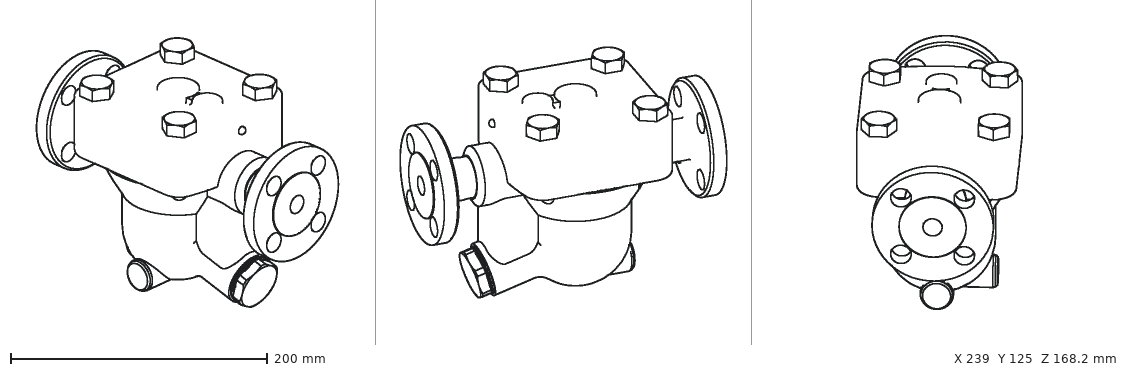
import cadquery as cq
import math


FLANGE_LEFT = 62.5
FLANGE_HALF_WIDTH = 62.5
FLANGE_RIGHT = 69.0
CORNER_RADIUS = 17.5
BOLT_OFFSET = FLANGE_HALF_WIDTH - CORNER_RADIUS
COVER_TOP = 51.5
SPLIT_Z = 30.0
BODY_FLANGE_BOTTOM = 0.2
BODY_BOW_SETBACK = 1.3
COVER_EDGE_FILLET = 1.5
BODY_EDGE_FILLET = 3.5

BOLT_TOP = 61.7
HEX_ACROSS_FLATS = 24.0
HEX_ACROSS_CORNERS = 2 * HEX_ACROSS_FLATS / math.sqrt(3)
HEX_CHAMFER = 1.0
BOLT_CLEARANCE_RADIUS = 9.0
BOLT_CLEARANCE_DEPTH = 24.0

BOSS_TOP = 57.6
MAIN_BOSS_RADIUS = 16.5
SIDE_BOSS_RADIUS = 12.0
SIDE_BOSS_X = 31.6
BOSS_FOOT_FILLET = 3.0
BOSS_TOP_FILLET = 1.7
BRIDGE_HALF_WIDTH = 6.5
BRIDGE_TOP = 55.4

VENT_RADIUS = 3.3
VENT_Z = 43.5

CHAMBER_RADIUS = 44.0
DOME_CENTRE_Z = -62.5
CHAMBER_TOP = -33.0
HOPPER_MID = -19.4
HOPPER_MID_RADIUS = 52.0
HOPPER_TOP_RADIUS = 62.4

PIPE_LENGTH = 239.0
PIPE_CENTRE_X = 10.0
PIPE_END_X = PIPE_LENGTH / 2
PIPE_FLANGE_DIAMETER = 95.0
PIPE_FLANGE_THICKNESS = 14.0
PIPE_FLANGE_BEVEL = 2.0
RAISED_FACE_DIAMETER = 52.5
RAISED_FACE_HEIGHT = 1.0
NECK_RADIUS = 16.5
NECK_FILLET = 3.5
BEAD_RADIUS = 17.0
BEAD_START = 28.4
BEAD_END = 34.6
SHOULDER_RADIUS = 24.0
SHOULDER_START = 40.2
SHOULDER_END = 44.5
SHOULDER_NECK_RADIUS = 17.5
BORE_DIAMETER = 15.0
BORE_DEPTH = SHOULDER_END
PIPE_BOLT_CIRCLE = 70.0
PIPE_BOLT_HOLE = 16.0
PIPE_BOLT_COUNT = 4

RIB_END_X = 77.8
RIB_BOTTOM = -78.0
RIB_HALF_WIDTH = 20.0
RIB_CORNER_RADIUS = 12.0

POCKET_ANGLE = 15.0
POCKET_RADIUS = 22.0
POCKET_LENGTH = 80.0
POCKET_FILLET = 15.0
COLLAR_RADIUS = 20.0
COLLAR_LENGTH = 1.5
SHANK_RADIUS = 18.0
SHANK_LENGTH = 1.5
PLUG_ACROSS_FLATS = 38.0
PLUG_TRIM_DIAMETER = 41.4
PLUG_LENGTH = 8.5

DRAIN_RADIUS = 13.0
DRAIN_Z = -92.5
DRAIN_REACH = 45.7
DRAIN_TAPER = 3.4
DRAIN_BEVEL = 1.6
DRAIN_BEVEL_RADIUS = 12.4
DRAIN_FACE_RADIUS = 11.0
DRAIN_FILLET = 3.0


def flange_outline(workplane, right):
    """Rounded square outline whose +X side is a wide arc tangent to its corner arcs."""
    reach = right - BOLT_OFFSET
    bow = (BOLT_OFFSET**2 + reach**2 - CORNER_RADIUS**2) / (2 * (reach - CORNER_RADIUS))
    tangent = math.atan2(BOLT_OFFSET, bow - reach)
    middle = (tangent + math.pi / 2) / 2
    diagonal = CORNER_RADIUS * math.sqrt(0.5)

    def corner_point(angle, side):
        x = BOLT_OFFSET + CORNER_RADIUS * math.cos(angle)
        y = BOLT_OFFSET + CORNER_RADIUS * math.sin(angle)
        return (x, side * y)

    left_x = CORNER_RADIUS - FLANGE_LEFT
    return (
        workplane
        .moveTo(left_x, -FLANGE_HALF_WIDTH)
        .lineTo(BOLT_OFFSET, -FLANGE_HALF_WIDTH)
        .threePointArc(corner_point(middle, -1), corner_point(tangent, -1))
        .threePointArc((right, 0), corner_point(tangent, 1))
        .threePointArc(corner_point(middle, 1), (BOLT_OFFSET, FLANGE_HALF_WIDTH))
        .lineTo(left_x, FLANGE_HALF_WIDTH)
        .threePointArc((left_x - diagonal, BOLT_OFFSET + diagonal), (-FLANGE_LEFT, BOLT_OFFSET))
        .lineTo(-FLANGE_LEFT, -BOLT_OFFSET)
        .threePointArc((left_x - diagonal, -BOLT_OFFSET - diagonal), (left_x, -FLANGE_HALF_WIDTH))
        .close()
    )


def hex_head(across_flats, trim_diameter, height, turn):
    """Hexagon along +Z cut from a round blank with a bevelled top edge."""
    across_corners = 2 * across_flats / math.sqrt(3)
    prism = cq.Workplane("XY").polygon(6, across_corners).extrude(height)
    blank = cq.Workplane("XY").circle(trim_diameter / 2).extrude(height)
    side = (trim_diameter - across_flats) / 2
    blank = blank.faces(">Z").chamfer(HEX_CHAMFER, side)
    return prism.intersect(blank).rotate((0, 0, 0), (0, 0, 1), turn)


def bolt_positions():
    return [(sx * BOLT_OFFSET, sy * BOLT_OFFSET) for sx in (-1, 1) for sy in (-1, 1)]


def cover():
    base = cq.Workplane("XY", origin=(0, 0, SPLIT_Z))
    block = flange_outline(base, FLANGE_RIGHT).extrude(COVER_TOP - SPLIT_Z)
    block = block.faces(">Z").edges().fillet(COVER_EDGE_FILLET)
    vent = cq.Workplane("XY").sphere(VENT_RADIUS).translate((FLANGE_RIGHT, 0, VENT_Z))
    return block.union(vent)


def flared_boss(radius, x):
    """Round boss on the cover with a flared foot and a rounded top edge."""
    foot = radius + BOSS_FOOT_FILLET
    foot_top = COVER_TOP + BOSS_FOOT_FILLET
    bend = math.sqrt(0.5)
    rim = radius - BOSS_TOP_FILLET
    rim_z = BOSS_TOP - BOSS_TOP_FILLET
    return (
        cq.Workplane("XZ")
        .moveTo(0, SPLIT_Z)
        .lineTo(foot, SPLIT_Z)
        .lineTo(foot, COVER_TOP)
        .threePointArc(
            (foot - BOSS_FOOT_FILLET * bend, foot_top - BOSS_FOOT_FILLET * bend), (radius, foot_top)
        )
        .lineTo(radius, rim_z)
        .threePointArc((rim + BOSS_TOP_FILLET * bend, rim_z + BOSS_TOP_FILLET * bend), (rim, BOSS_TOP))
        .lineTo(0, BOSS_TOP)
        .close()
        .revolve(360, (0, 0, 0), (0, 1, 0))
        .translate((x, 0, 0))
    )


def cover_bosses():
    foot = BRIDGE_HALF_WIDTH + BOSS_FOOT_FILLET
    bend = BOSS_FOOT_FILLET * math.sqrt(0.5)
    foot_top = COVER_TOP + BOSS_FOOT_FILLET
    bridge = (
        cq.Workplane("YZ")
        .moveTo(-foot, SPLIT_Z)
        .lineTo(foot, SPLIT_Z)
        .lineTo(foot, COVER_TOP)
        .threePointArc((foot - bend, foot_top - bend), (BRIDGE_HALF_WIDTH, foot_top))
        .lineTo(BRIDGE_HALF_WIDTH, BRIDGE_TOP)
        .lineTo(-BRIDGE_HALF_WIDTH, BRIDGE_TOP)
        .lineTo(-BRIDGE_HALF_WIDTH, foot_top)
        .threePointArc((bend - foot, foot_top - bend), (-foot, COVER_TOP))
        .close()
        .extrude(SIDE_BOSS_X)
    )
    main = flared_boss(MAIN_BOSS_RADIUS, 0)
    return main.union(flared_boss(SIDE_BOSS_RADIUS, SIDE_BOSS_X)).union(bridge)


def cover_bolts():
    bolts = cq.Workplane("XY")
    for x, y in bolt_positions():
        turn = 0 if x * y > 0 else 90
        head = hex_head(HEX_ACROSS_FLATS, HEX_ACROSS_CORNERS, BOLT_TOP - COVER_TOP, turn)
        bolts = bolts.union(head.translate((x, y, COVER_TOP)))
    return bolts


def body_flange():
    """Lower half of the block, its bowed side drafted inward towards the bottom."""
    base = cq.Workplane("XY", origin=(0, 0, BODY_FLANGE_BOTTOM))
    lower = flange_outline(base, FLANGE_RIGHT - BODY_BOW_SETBACK)
    joint = lower.workplane(offset=SPLIT_Z - BODY_FLANGE_BOTTOM)
    block = flange_outline(joint, FLANGE_RIGHT).loft(ruled=True)
    return block.faces("<Z").edges().fillet(BODY_EDGE_FILLET)


def hopper():
    """Two conical stages from the chamber up to the body flange, notched below the bolts."""
    stages = (
        cq.Workplane("XZ")
        .moveTo(0, CHAMBER_TOP)
        .lineTo(CHAMBER_RADIUS, CHAMBER_TOP)
        .lineTo(HOPPER_MID_RADIUS, HOPPER_MID)
        .lineTo(HOPPER_TOP_RADIUS, BODY_FLANGE_BOTTOM)
        .lineTo(0, BODY_FLANGE_BOTTOM)
        .close()
        .revolve(360, (0, 0, 0), (0, 1, 0))
    )
    clearance = cq.Workplane("XY", origin=(0, 0, BODY_FLANGE_BOTTOM)).pushPoints(bolt_positions())
    return stages.cut(clearance.circle(BOLT_CLEARANCE_RADIUS).extrude(-BOLT_CLEARANCE_DEPTH))


def drain_boss(turn):
    """Round boss low on the dome, along -X turned about Z, its end narrowing in two cones."""
    profile = (
        cq.Workplane("XZ")
        .lineTo(0, DRAIN_RADIUS)
        .lineTo(DRAIN_TAPER - DRAIN_REACH, DRAIN_RADIUS)
        .lineTo(DRAIN_BEVEL - DRAIN_REACH, DRAIN_BEVEL_RADIUS)
        .lineTo(-DRAIN_REACH, DRAIN_FACE_RADIUS)
        .lineTo(-DRAIN_REACH, 0)
        .close()
    )
    boss = profile.revolve(360, (0, 0, 0), (1, 0, 0)).translate((0, 0, DRAIN_Z))
    return boss.rotate((0, 0, 0), (0, 0, 1), turn)


def chamber():
    """Barrel on a half-round dome, with two drain bosses, the -X one blended in."""
    barrel = cq.Workplane("XY", origin=(0, 0, DOME_CENTRE_Z)).circle(CHAMBER_RADIUS)
    barrel = barrel.extrude(CHAMBER_TOP - DOME_CENTRE_Z)
    dome = cq.Workplane("XY").sphere(CHAMBER_RADIUS).translate((0, 0, DOME_CENTRE_Z))
    dome = dome.union(drain_boss(0))
    dome = dome.edges("not(%CIRCLE or %LINE)").fillet(DRAIN_FILLET)
    return barrel.union(dome).union(drain_boss(90))


def pipe_half():
    """Half of the pipe line on +X, from its middle to the end flange."""
    back = PIPE_END_X - PIPE_FLANGE_THICKNESS
    face = PIPE_END_X - RAISED_FACE_HEIGHT
    rim = PIPE_FLANGE_DIAMETER / 2
    raised = RAISED_FACE_DIAMETER / 2
    bend = NECK_FILLET * (1 - math.sqrt(0.5))
    bead_crown = (PIPE_END_X - (BEAD_START + BEAD_END) / 2, BEAD_RADIUS)
    profile = (
        cq.Workplane("XY")
        .lineTo(0, SHOULDER_RADIUS)
        .lineTo(PIPE_END_X - SHOULDER_END, SHOULDER_RADIUS)
        .lineTo(PIPE_END_X - SHOULDER_START, SHOULDER_NECK_RADIUS)
        .lineTo(PIPE_END_X - SHOULDER_START, NECK_RADIUS)
        .lineTo(PIPE_END_X - BEAD_END, NECK_RADIUS)
        .threePointArc(bead_crown, (PIPE_END_X - BEAD_START, NECK_RADIUS))
        .lineTo(back - NECK_FILLET, NECK_RADIUS)
        .threePointArc((back - bend, NECK_RADIUS + bend), (back, NECK_RADIUS + NECK_FILLET))
        .lineTo(back, rim - PIPE_FLANGE_BEVEL)
        .lineTo(back + PIPE_FLANGE_BEVEL, rim)
        .lineTo(face, rim)
        .lineTo(face, raised)
        .lineTo(PIPE_END_X, raised)
        .lineTo(PIPE_END_X, 0)
        .close()
    )
    half = profile.revolve(360, (0, 0, 0), (1, 0, 0))
    holes = (
        cq.Workplane("YZ", origin=(PIPE_END_X, 0, 0))
        .polarArray(PIPE_BOLT_CIRCLE / 2, 180 / PIPE_BOLT_COUNT, 360, PIPE_BOLT_COUNT)
        .circle(PIPE_BOLT_HOLE / 2)
        .extrude(-PIPE_FLANGE_THICKNESS)
    )
    return half.cut(holes)


def pipe_line():
    half = pipe_half()
    return half.union(half.mirror("YZ")).translate((PIPE_CENTRE_X, 0, 0))


def pipe_bore(side):
    bore = cq.Workplane("YZ", origin=(PIPE_CENTRE_X + side * PIPE_END_X, 0, 0))
    return bore.circle(BORE_DIAMETER / 2).extrude(-side * BORE_DEPTH)


def passage_rib():
    rib = cq.Workplane("XY", origin=(0, 0, RIB_BOTTOM))
    rib = rib.rect(2 * RIB_END_X, 2 * RIB_HALF_WIDTH).extrude(-RIB_BOTTOM)
    rib = rib.edges("|Z").fillet(RIB_CORNER_RADIUS)
    right_half = cq.Workplane("XY").box(PIPE_LENGTH, PIPE_LENGTH, PIPE_LENGTH, centered=(False, True, True))
    return rib.intersect(right_half)


def along_pocket(solid):
    """Move a solid built on +Z onto the inclined pocket axis."""
    solid = solid.rotate((0, 0, 0), (0, 1, 0), 90 + POCKET_ANGLE)
    return solid.translate((0, 0, DOME_CENTRE_Z))


def valve_pocket():
    """Inclined cylinder with a flared root tangent to the dome."""
    centre_r = POCKET_RADIUS + POCKET_FILLET
    centre_d = math.sqrt((CHAMBER_RADIUS + POCKET_FILLET) ** 2 - centre_r**2)
    shrink = CHAMBER_RADIUS / (CHAMBER_RADIUS + POCKET_FILLET)
    root = (centre_r * shrink, centre_d * shrink)
    middle = math.atan2(centre_d, centre_r) / 2
    bend = (centre_r - POCKET_FILLET * math.cos(middle), centre_d - POCKET_FILLET * math.sin(middle))
    return along_pocket(
        cq.Workplane("XZ")
        .lineTo(*root)
        .threePointArc(bend, (POCKET_RADIUS, centre_d))
        .lineTo(POCKET_RADIUS, POCKET_LENGTH)
        .lineTo(0, POCKET_LENGTH)
        .close()
        .revolve(360, (0, 0, 0), (0, 1, 0))
    )


def valve_plug():
    collar = cq.Workplane("XY", origin=(0, 0, POCKET_LENGTH)).circle(COLLAR_RADIUS).extrude(COLLAR_LENGTH)
    shank = collar.faces(">Z").workplane().circle(SHANK_RADIUS).extrude(SHANK_LENGTH)
    head = hex_head(PLUG_ACROSS_FLATS, PLUG_TRIM_DIAMETER, PLUG_LENGTH, 0)
    head_start = POCKET_LENGTH + COLLAR_LENGTH + SHANK_LENGTH
    return along_pocket(shank.union(head.translate((0, 0, head_start))))


body = body_flange().union(hopper()).union(chamber())
body = body.union(passage_rib()).union(valve_pocket()).union(valve_plug())
body = body.union(pipe_line())
for end in (-1, 1):
    body = body.cut(pipe_bore(end))
for cover_part in (cover(), cover_bosses(), cover_bolts()):
    body = body.union(cover_part, clean=False)
result = body